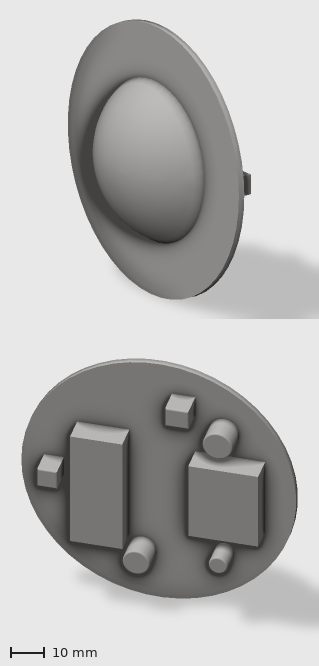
import cadquery as cq

flange_diameter = 84.0
flange_thickness = 2.0

dome_base_radius = 25.0
dome_height = 15.4
dome_sphere_radius = (dome_base_radius**2 + dome_height**2) / (2 * dome_height)

component_height = 8.0
edge_fillet = 0.5

plain_blocks = [
    (-32.5, -11.2, -12.5, 12.6),
    (9.0, 24.95, -21.0, 16.7),
]

rounded_blocks = [
    (-11.2, -4.0, 25.8, 32.1),
    (29.0, 35.0, -3.1, 3.1),
]

posts = [
    (-20.0, 21.25, 4.5),
    (4.9, -25.3, 4.1),
    (-20.2, -21.75, 2.85),
]


def back_plane():
    """XZ sketch plane on the back of the flange, with its normal along +Y."""
    origin = (0, flange_thickness, 0)
    return cq.Workplane(cq.Plane(origin=origin, xDir=(1, 0, 0), normal=(0, 1, 0)))


def make_flange():
    return back_plane().circle(flange_diameter / 2).extrude(-flange_thickness)


def make_dome():
    """Spherical cap, revolved about the Y axis from its half profile."""
    mid_radius = (dome_sphere_radius**2 - (dome_sphere_radius - dome_height / 2) ** 2) ** 0.5
    return (
        cq.Workplane("XY")
        .lineTo(dome_base_radius, 0)
        .threePointArc((mid_radius, -dome_height / 2), (0, -dome_height))
        .close()
        .revolve(360, (0, 0, 0), (0, 1, 0))
    )


def make_block(x_min, x_max, z_min, z_max):
    size = (x_max - x_min, component_height, z_max - z_min)
    corner = (x_min, flange_thickness, z_min)
    return cq.Workplane("XY").box(*size, centered=False).translate(corner)


def make_post(x, z, radius):
    return back_plane().center(x, -z).circle(radius).extrude(component_height)


def round_back_rim(body):
    return body.faces(">Y").edges().fillet(edge_fillet)


result = make_flange().union(make_dome())
for block in plain_blocks:
    result = result.union(make_block(*block))
for block in rounded_blocks:
    result = result.union(round_back_rim(make_block(*block)))
for post in posts:
    result = result.union(round_back_rim(make_post(*post)))